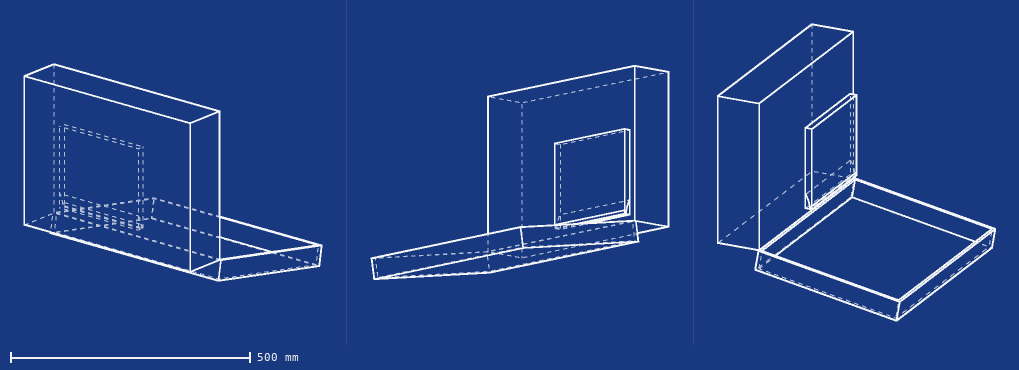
import cadquery as cq


case_width = 452.5
case_depth = 96.5
case_height = 330.5

lid_width = 459.0
lid_length = 333.5
lid_height = 44.5
lid_wall = 5.5
lid_floor = 3.0
lid_drop_angle = 10.0

panel_width = 215.0
panel_height = 181.0
panel_thickness = 15.0
panel_left = -211.0
panel_bottom = 15.0
panel_top = panel_bottom + panel_height

ridge_offset = 10.0
front_taper_height = 7.5
rear_taper_height = 31.5
rear_bulge_offset = 8.0
rear_bulge_height = 16.0
front_taper_top = panel_bottom + front_taper_height
rear_taper_top = panel_bottom + rear_taper_height
rear_bulge_z = panel_bottom + rear_bulge_height


def corner_box(width, length, height):
    """Box centred along X that starts at Y = 0 and Z = 0."""
    return cq.Workplane("XY").box(width, length, height, centered=(True, False, False))


def panel_profile(start_y, start_z):
    """Start a YZ outline in the plane of the panel's left end."""
    return cq.Workplane("YZ", origin=(panel_left, 0, 0)).moveTo(start_y, start_z)


def make_case():
    """Plain upright box whose front lower edge is the hinge line."""
    return corner_box(case_width, case_depth, case_height).translate((0, -case_depth, 0))


def make_lid():
    """Open tray hinged at its rear rim and tilted downward."""
    tray = corner_box(lid_width, lid_length, lid_height)
    pocket_width = lid_width - 2 * lid_wall
    pocket_length = lid_length - 2 * lid_wall
    pocket = corner_box(pocket_width, pocket_length, lid_height).translate((0, lid_wall, lid_floor))
    level_lid = tray.cut(pocket).translate((0, 0, -lid_height))
    return level_lid.rotate((0, 0, 0), (1, 0, 0), -lid_drop_angle)


def make_panel():
    """Flat panel against the case, tapered to a ridge at its lower end."""
    return (
        panel_profile(0, panel_top)
        .lineTo(panel_thickness, panel_top)
        .lineTo(panel_thickness, front_taper_top)
        .lineTo(ridge_offset, panel_bottom)
        .threePointArc((rear_bulge_offset, rear_bulge_z), (0, rear_taper_top))
        .close()
        .extrude(panel_width)
    )


def make_rear_wedge():
    """Curved wedge that fills the space between the panel's ridge and the case."""
    return (
        panel_profile(0, panel_bottom)
        .lineTo(ridge_offset, panel_bottom)
        .threePointArc((rear_bulge_offset, rear_bulge_z), (0, rear_taper_top))
        .close()
        .extrude(panel_width)
    )


def make_front_strip():
    """Triangular strip that squares off the panel's lower front edge."""
    return (
        panel_profile(ridge_offset, panel_bottom)
        .lineTo(panel_thickness, panel_bottom)
        .lineTo(panel_thickness, front_taper_top)
        .close()
        .extrude(panel_width)
    )


case = make_case()
lid = make_lid()
panel = make_panel()
rear_wedge = make_rear_wedge()
front_strip = make_front_strip()

result = cq.Compound.makeCompound(
    [case.val(), lid.val(), panel.val(), rear_wedge.val(), front_strip.val()]
)